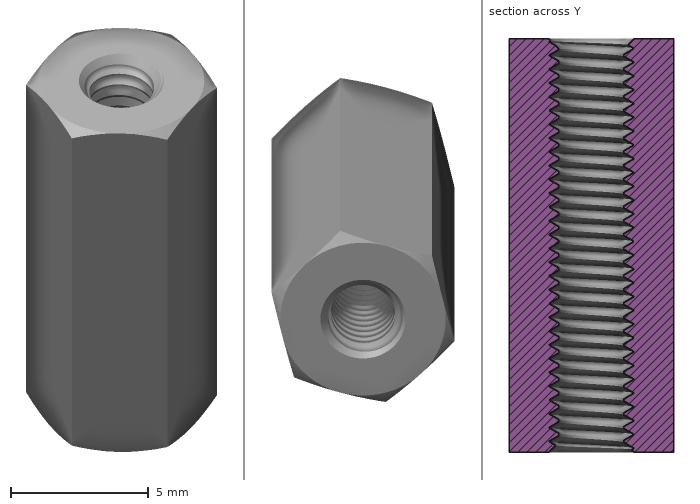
import cadquery as cq
import math

length = 15.0
across_flats = 6.0
across_corners = across_flats / math.cos(math.radians(30))
hex_turn = 30.0
corner_chamfer_angle = 30.0

bore_radius = 1.17
thread_root_radius = 1.53
thread_turns = 30
thread_pitch = length / thread_turns
thread_half_angle = 30.0
thread_start_angle = 75.0
stem_radius = 1.05
turns_per_run = 2
run_length = turns_per_run * thread_pitch
run_count = math.ceil((length + 2 * thread_pitch) / run_length)

entry_radius = 1.55
entry_depth = entry_radius - bore_radius


def hex_body():
    """Hexagonal prism with its corners turned to a cone at both ends."""
    corner_radius = across_corners / 2
    flat_radius = across_flats / 2
    drop = (corner_radius - flat_radius) * math.tan(math.radians(corner_chamfer_angle))
    prism = cq.Workplane("XY").polygon(6, across_corners).extrude(length)
    prism = prism.rotate((0, 0, 0), (0, 0, 1), hex_turn)
    envelope = (
        cq.Workplane("XZ")
        .moveTo(0, 0)
        .lineTo(flat_radius, 0)
        .lineTo(corner_radius, drop)
        .lineTo(corner_radius, length - drop)
        .lineTo(flat_radius, length)
        .lineTo(0, length)
        .close()
        .revolve(360, (0, 0, 0), (0, 1, 0))
    )
    return prism.intersect(envelope)


def bore():
    """Through hole with a conical entry at each end."""
    return (
        cq.Workplane("XZ")
        .moveTo(0, 0)
        .lineTo(entry_radius, 0)
        .lineTo(bore_radius, entry_depth)
        .lineTo(bore_radius, length - entry_depth)
        .lineTo(entry_radius, length)
        .lineTo(0, length)
        .close()
        .revolve(360, (0, 0, 0), (0, 1, 0))
    )


def groove_run():
    """Short run of helical V groove, with a square-sided stem reaching into the open bore."""
    mouth_half_width = (thread_root_radius - bore_radius) * math.tan(math.radians(thread_half_angle))
    section = [
        (bore_radius, -mouth_half_width),
        (thread_root_radius, 0),
        (bore_radius, mouth_half_width),
        (stem_radius, mouth_half_width),
        (stem_radius, -mouth_half_width),
    ]
    edges = [
        cq.Wire.makeHelix(thread_pitch, run_length, radius).translate(cq.Vector(0, 0, height))
        for radius, height in section
    ]
    faces = [
        cq.Face.makeRuledSurface(edge, following)
        for edge, following in zip(edges, edges[1:] + edges[:1])
    ]
    for corners in ([e.startPoint() for e in edges], [e.endPoint() for e in edges]):
        faces.append(cq.Face.makeFromWires(cq.Wire.makePolygon(corners, close=True)))
    groove = cq.Solid.makeSolid(cq.Shell.makeShell(faces))
    return groove.rotate(cq.Vector(0, 0, 0), cq.Vector(0, 0, 1), thread_start_angle)


result = hex_body().cut(bore())

run = groove_run()
for index in range(run_count):
    run_bottom = index * run_length - thread_pitch
    result = result.cut(cq.Workplane(run.translate(cq.Vector(0, 0, run_bottom))))